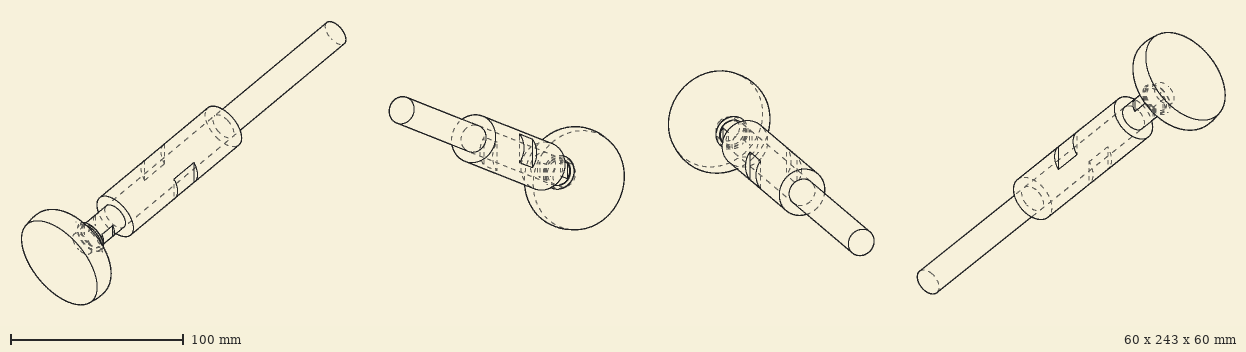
import cadquery as cq

total_length = 243.0

rod_diameter = 16.0
tip_diameter = 14.5
rod_start = 28.5
rod_flat_width = 13.1
rod_flat_start = 30.0
rod_flat_length = 9.5

sleeve_diameter = 28.2
sleeve_start = 49.0
sleeve_length = 95.3
sleeve_flat_width = 22.5
sleeve_flat_length = 17.5
sleeve_flat_start = sleeve_start + (sleeve_length - sleeve_flat_length) / 2

foot_diameter = 60.0
foot_radius = foot_diameter / 2
base_radius = 29.2
band_start = 5.8
band_end = 8.7
shoulder_radius = 24.8
shoulder_height = 15.5
waist_radius = 16.8
waist_height = 19.7
neck_radius = 14.5
neck_height = 21.5
throat_radius = 9.2
throat_height = 26.5
lip_radius = 10.0
foot_height = 27.5
socket_depth = 7.3
socket_floor = foot_height - socket_depth


def cylinder(diameter, start, length):
    """Solid cylinder along Y beginning at the given Y."""
    plane = cq.Workplane("XZ", origin=(0, start, 0))
    return plane.circle(diameter / 2).extrude(-length)


def cut_flats(body, diameter, width, start, length):
    """Cut two wrench flats facing -X and +X, leaving the given width between them."""
    depth = (diameter - width) / 2
    for side in (-1, 1):
        center = (side * (width + depth) / 2, start + length / 2, 0)
        body = body.cut(cq.Workplane("XY", origin=center).box(depth, length, diameter))
    return body


def make_spindle():
    profile = (
        cq.Workplane("XY")
        .moveTo(0, socket_floor)
        .lineTo(tip_diameter / 2, socket_floor)
        .lineTo(tip_diameter / 2, foot_height)
        .lineTo(rod_diameter / 2, rod_start)
        .lineTo(rod_diameter / 2, total_length)
        .lineTo(0, total_length)
        .close()
    )
    rod = profile.revolve(360, (0, 0, 0), (0, 1, 0))
    return cut_flats(rod, rod_diameter, rod_flat_width, rod_flat_start, rod_flat_length)


def make_sleeve():
    sleeve = cylinder(sleeve_diameter, sleeve_start, sleeve_length)
    sleeve = cut_flats(
        sleeve, sleeve_diameter, sleeve_flat_width, sleeve_flat_start, sleeve_flat_length
    )
    return sleeve.cut(cylinder(rod_diameter, sleeve_start, sleeve_length))


def make_foot():
    profile = (
        cq.Workplane("XY")
        .lineTo(base_radius, 0)
        .lineTo(foot_radius, band_start)
        .lineTo(foot_radius, band_end)
        .tangentArcPoint((shoulder_radius, shoulder_height), relative=False)
        .lineTo(waist_radius, waist_height)
        .lineTo(neck_radius, neck_height)
        .lineTo(throat_radius, throat_height)
        .lineTo(lip_radius, foot_height)
        .lineTo(0, foot_height)
        .close()
    )
    foot = profile.revolve(360, (0, 0, 0), (0, 1, 0))
    return foot.cut(cylinder(tip_diameter, socket_floor, socket_depth))


spindle = make_spindle()
sleeve = make_sleeve()
foot = make_foot()

result = cq.Compound.makeCompound([spindle.val(), sleeve.val(), foot.val()])